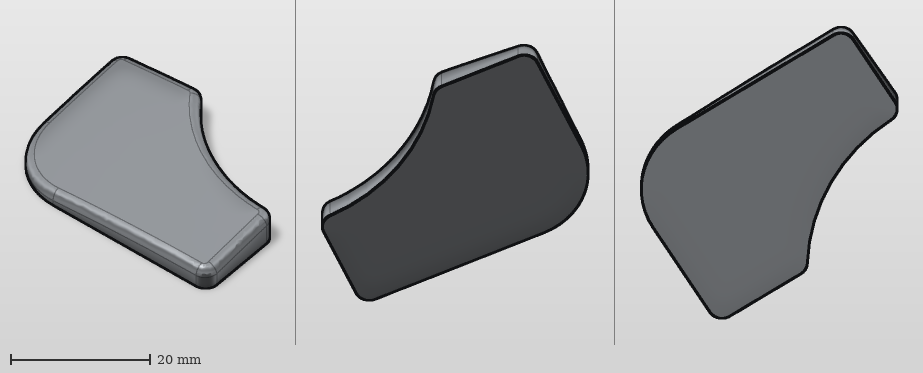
import cadquery as cq
import math

length = 39.8
width = 28.4
height = 5.25

corner_radius = 2.13
large_corner_radius = 11.02
back_edge_end = 14.2
right_edge_end = 13.37
hollow_radius = 27.65

rim_inset = 1.55
near_slope = 0.1
fall_curve_radius = 398.0
fall_reach = 29.85

top_fillet = 1.5
bottom_chamfer = 0.1

back_end = (back_edge_end, width - corner_radius)
right_end = (length - corner_radius, right_edge_end)

end_dx = right_end[0] - back_end[0]
end_dy = right_end[1] - back_end[1]
end_spacing = math.hypot(end_dx, end_dy)
centre_offset = math.sqrt((hollow_radius + corner_radius) ** 2 - (end_spacing / 2) ** 2)
hollow_centre = (
    (back_end[0] + right_end[0]) / 2 - centre_offset * end_dy / end_spacing,
    (back_end[1] + right_end[1]) / 2 + centre_offset * end_dx / end_spacing,
)


def polar(centre, radius, angle):
    """Point at a radius and angle from a centre."""
    return (centre[0] + radius * math.cos(angle), centre[1] + radius * math.sin(angle))


def direction(start, end):
    """Angle of the line from start to end."""
    return math.atan2(end[1] - start[1], end[0] - start[0])


def make_blank():
    """Full-height block with the plan outline."""
    back_angle = direction(back_end, hollow_centre)
    right_angle = direction(right_end, hollow_centre)
    hollow_mid_angle = (back_angle + right_angle) / 2 + math.pi
    back_left = (corner_radius, width - corner_radius)
    front_right = (length - corner_radius, corner_radius)
    front_left = (large_corner_radius, large_corner_radius)
    return (
        cq.Workplane("XY")
        .moveTo(large_corner_radius, 0)
        .lineTo(length - corner_radius, 0)
        .threePointArc(polar(front_right, corner_radius, -math.pi / 4), (length, corner_radius))
        .lineTo(length, right_edge_end)
        .threePointArc(
            polar(right_end, corner_radius, right_angle / 2),
            polar(right_end, corner_radius, right_angle),
        )
        .threePointArc(
            polar(hollow_centre, hollow_radius, hollow_mid_angle),
            polar(back_end, corner_radius, back_angle),
        )
        .threePointArc(
            polar(back_end, corner_radius, (back_angle + math.pi / 2) / 2),
            (back_edge_end, width),
        )
        .lineTo(corner_radius, width)
        .threePointArc(
            polar(back_left, corner_radius, 3 * math.pi / 4), (0, width - corner_radius)
        )
        .lineTo(0, large_corner_radius)
        .threePointArc(
            polar(front_left, large_corner_radius, -3 * math.pi / 4), (large_corner_radius, 0)
        )
        .close()
        .extrude(height + top_fillet)
    )


def make_top_envelope():
    """Solid of revolution about the concave side's centre, below the domed top."""
    rim_radius = hollow_radius + rim_inset
    arc_x = fall_curve_radius * math.sin(math.atan(near_slope))
    rim_z = math.sqrt(fall_curve_radius**2 - arc_x**2)

    def top_point(distance):
        """Radius and height of the dome at a distance outward from the rim."""
        drop = rim_z - math.sqrt(fall_curve_radius**2 - (arc_x + distance) ** 2)
        return (rim_radius + distance, height - drop)

    inner = top_point(-2 * rim_inset)
    outer = top_point(fall_reach)
    profile = (
        cq.Workplane("XZ")
        .moveTo(inner[0], 0)
        .lineTo(*inner)
        .threePointArc(top_point(fall_reach / 2), outer)
        .lineTo(outer[0], 0)
        .close()
    )
    return profile.revolve(360, (0, 0), (0, 1)).translate((*hollow_centre, 0))


body = make_blank().intersect(make_top_envelope())
body = body.faces("<Z").chamfer(bottom_chamfer)
result = body.faces(">Z").edges().fillet(top_fillet)